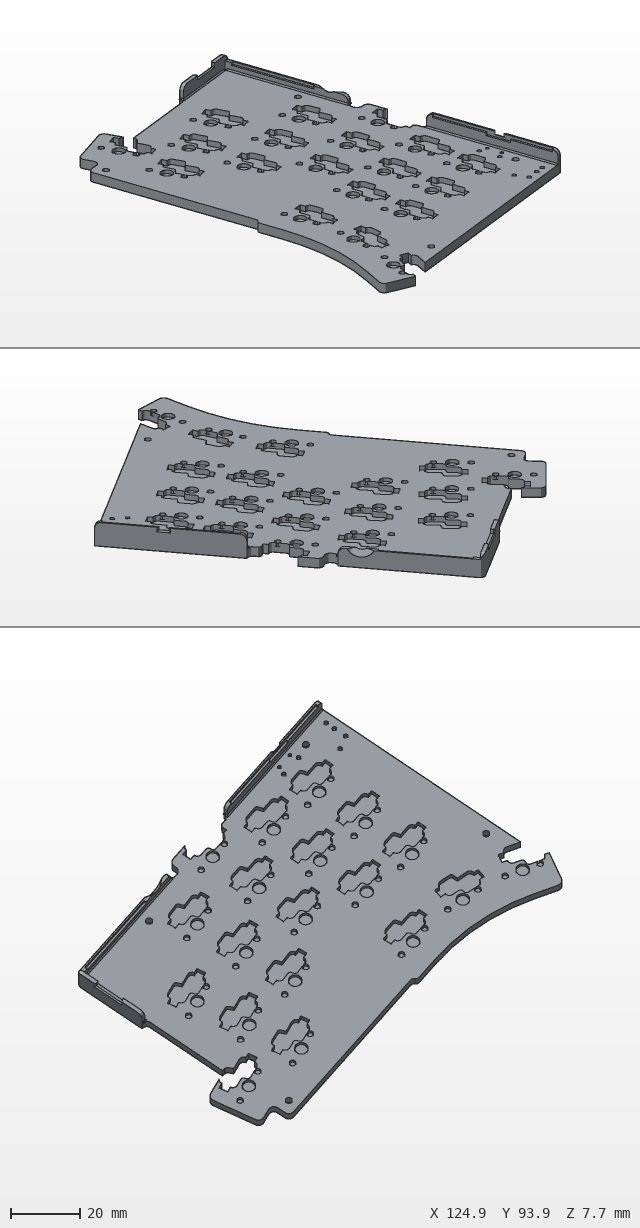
import cadquery as cq
import math


PLATE_THICKNESS = 3.1
BODY_WIDTH = 113.2
BODY_DEPTH = 75.1
CORNER_RADIUS = 1.75
NOTCH_EDGE_Y = 24.63
NOTCH_EDGE_LENGTH = 1.0
TAB_CORNER = 0.7
STEP_START_X = 58.0
STEP_END_X = 58.7
STEP_RADIUS = 1.3
THUMB_ARC_RADIUS = 69.0

ROW_PITCH = 17.0
KEY_SIDE = 9.3
KEY_FRONT = 8.7
KEY_BACK = 8.65
PINKY_SIDE = 9.08

INDEX_X = 72.83
INDEX_REAR_Y = 62.06
MIDDLE_X = 54.81
MIDDLE_SECOND_Y = 53.5

FINGER_COLUMNS = [
    (90.83, 59.34, 0, 3),
    (INDEX_X, INDEX_REAR_Y, 0, 3),
    (MIDDLE_X, MIDDLE_SECOND_Y, 0, 2),
    (34.30, 60.26, 4, 3),
    (13.97, 44.60, 10, 3),
]
INNER_THUMB_KEY = (67.88, 7.29, 0)
MIDDLE_THUMB_KEY = (87.79, 4.45, -15)
MIDDLE_FINGER_KEY = (MIDDLE_X, MIDDLE_SECOND_Y + ROW_PITCH, 0)
PINKY_KEY = (0.69, 15.51, 10)
OUTER_THUMB_KEY = (106.2, -3.2, -30)

WIDE_SOCKET_SHIFT = 0.6
WIDE_SOCKET_KEY = (INDEX_X + WIDE_SOCKET_SHIFT, INDEX_REAR_Y, 0)

STEM_DIAMETER = 3.9
SIDE_PIN_DIAMETER = 1.9
SIDE_PIN_OFFSET = 5.5
PIN_DEPTH = 1.2
SOCKET_DEPTH = 1.8

SOCKET_LEFT = -4.6
SOCKET_RIGHT = 9.5
SOCKET_BACK = 8.78
SOCKET_TAB_FRONT = 2.33
SOCKET_OUTLINE = [
    (SOCKET_LEFT, 4.55, 0),
    (SOCKET_LEFT, 7.35, 0),
    (-2.85, 7.35, 0),
    (-2.85, SOCKET_BACK, 1.42),
    (2.45, SOCKET_BACK, 0.9),
    (3.05, 6.6, 0),
    (7.95, 6.6, 1.4),
    (7.95, 5.15, 0),
    (SOCKET_RIGHT, 5.15, 0),
    (SOCKET_RIGHT, SOCKET_TAB_FRONT, 0),
    (7.85, SOCKET_TAB_FRONT, 0),
    (7.85, 0.92, 1.35),
    (1.9, 0.92, 1.1),
    (1.6, 3.1, 0.9),
    (-2.85, 3.1, 1.4),
    (-2.85, 4.55, 0),
]

MOUNT_HOLE_DIAMETER = 2.0
MOUNT_HOLES = [(26.6, 72.0), (100.9, 72.0), (3.9, 3.4), (109.3, 12.5)]
SMALL_PIN_DIAMETER = 1.0
SMALL_PINS = [(90.3, 73.5), (95.3, 73.5)]
LARGE_PIN_DIAMETER = 1.3
LARGE_PINS = [(89.2, 71.0), (96.2, 71.0), (110.2, 71.76), (110.2, 68.7), (110.2, 64.6), (105.9, 63.3)]

TALL_WALL_TOP = 7.7
LOW_WALL_TOP = 5.9
WALL_THICKNESS = 1.3
FOOT_SIZE = 0.43
WALL_OUTSET = WALL_THICKNESS + FOOT_SIZE
WALL_BACK_Y = BODY_DEPTH + WALL_OUTSET
WALL_LEFT_X = -WALL_OUTSET
WALL_CORNER_RADIUS = 2.0
OUTLINE_BLEND = 1.7
LOW_WALL_END_X = 41.5
RIGHT_WALL_START_X = 68.3
LEFT_WALL_END_Y = 52.73

LIP_THICKNESS = 0.55
LEDGE_DROP = 0.9
LOW_LEDGE_X = (1.73, 29.8)
RIGHT_LEDGE_X = (RIGHT_WALL_START_X + WALL_CORNER_RADIUS, BODY_WIDTH - WALL_CORNER_RADIUS)

FUNNEL_X = 34.8
FUNNEL_Z = 8.0
FUNNEL_OUTER_RADIUS = 4.5
FUNNEL_INNER_RADIUS = 2.6

SWITCH_X = 92.75
SWITCH_RECESS_WIDTH = 8.4
SWITCH_RECESS_FLOOR = 5.9
SWITCH_SLOT_WIDTH = 3.0
SWITCH_SLOT_FLOOR = 6.7
MOUTH_BEVEL = 0.45

USB_NOTCH_Y = (60.5, 69.8)
USB_NOTCH_FLOOR = 6.3


def key_point(key, x, y):
    """Convert a point relative to a key centre to part coordinates."""
    key_x, key_y, rotation = key
    angle = math.radians(rotation)
    return (
        key_x + x * math.cos(angle) - y * math.sin(angle),
        key_y + x * math.sin(angle) + y * math.cos(angle),
    )


def rounded_outline(vertices):
    """Closed wire through (x, y, radius) vertices, each corner blended by its radius."""
    spans = []
    for i, (x, y, radius) in enumerate(vertices):
        corner = cq.Vector(x, y)
        before = (cq.Vector(*vertices[i - 1][:2]) - corner).normalized()
        after = (cq.Vector(*vertices[(i + 1) % len(vertices)][:2]) - corner).normalized()
        if radius == 0:
            spans.append((corner, None, corner))
            continue
        half_angle = before.getAngle(after) / 2
        tangent_length = radius / math.tan(half_angle)
        bisector = (before + after).normalized()
        middle = corner + bisector * (radius / math.sin(half_angle) - radius)
        spans.append((corner + before * tangent_length, middle, corner + after * tangent_length))

    edges = []
    for i, (start, middle, end) in enumerate(spans):
        if middle is not None:
            edges.append(cq.Edge.makeThreePointArc(start, middle, end))
        edges.append(cq.Edge.makeLine(end, spans[(i + 1) % len(spans)][0]))
    return cq.Wire.assembleEdges(edges)


def extruded_outline(vertices, bottom, height):
    solid = cq.Solid.extrudeLinear(rounded_outline(vertices), [], cq.Vector(0, 0, height))
    return cq.Workplane(solid.translate(cq.Vector(0, 0, bottom)))


def block(x_range, y_range, z_range):
    sizes = [high - low for low, high in (x_range, y_range, z_range)]
    corner = (x_range[0], y_range[0], z_range[0])
    return cq.Workplane().box(*sizes, centered=False).translate(corner)


def plate():
    """Plate outline; where a socket breaks the edge it runs through the socket's interior."""
    thumb_front_y = key_point(INNER_THUMB_KEY, 0, -KEY_FRONT)[1]
    outer_front_x, outer_front_y = key_point(OUTER_THUMB_KEY, 0, -KEY_FRONT)
    outer_slope = math.tan(math.radians(OUTER_THUMB_KEY[2]))
    thumb_vertex_x = outer_front_x + (thumb_front_y - outer_front_y) / outer_slope

    pinky_slope = math.tan(math.radians(PINKY_KEY[2]))
    pinky_front_x, pinky_front_y = key_point(PINKY_KEY, 0, -KEY_FRONT)
    pinky_notch_y = pinky_front_y - pinky_front_x * pinky_slope

    thumb_back_x, thumb_back_y = key_point(OUTER_THUMB_KEY, 0, SOCKET_BACK)
    right_edge_y = thumb_back_y + (BODY_WIDTH - thumb_back_x) * outer_slope

    socket_middle = (2.0, 5.0)
    socket_rear = (0.0, KEY_BACK)
    finger_left_x, finger_back_y = key_point(MIDDLE_FINGER_KEY, -KEY_SIDE, KEY_BACK)
    finger_tab_x = key_point(MIDDLE_FINGER_KEY, SOCKET_RIGHT, 0)[0]

    vertices = [
        (0, 0, CORNER_RADIUS),
        (STEP_START_X, 0, STEP_RADIUS),
        (STEP_END_X, thumb_front_y, STEP_RADIUS),
        (thumb_vertex_x, thumb_front_y, THUMB_ARC_RADIUS),
        (*key_point(OUTER_THUMB_KEY, KEY_SIDE, -KEY_FRONT), CORNER_RADIUS),
        (*key_point(OUTER_THUMB_KEY, KEY_SIDE, SOCKET_TAB_FRONT), 0),
        (*key_point(OUTER_THUMB_KEY, *socket_middle), 0),
        (*key_point(OUTER_THUMB_KEY, *socket_rear), 0),
        (*key_point(OUTER_THUMB_KEY, 0, SOCKET_BACK), 0),
        (BODY_WIDTH, right_edge_y, 0),
        (BODY_WIDTH, WALL_BACK_Y, 0),
        (RIGHT_WALL_START_X, WALL_BACK_Y, 0),
        (RIGHT_WALL_START_X, BODY_DEPTH, OUTLINE_BLEND),
        (finger_tab_x + TAB_CORNER, BODY_DEPTH, 0),
        (finger_tab_x, BODY_DEPTH - TAB_CORNER, 0),
        (*key_point(MIDDLE_FINGER_KEY, *socket_middle), 0),
        (*key_point(MIDDLE_FINGER_KEY, *socket_rear), 0),
        (finger_left_x, finger_back_y, CORNER_RADIUS),
        (finger_left_x, BODY_DEPTH, CORNER_RADIUS),
        (LOW_WALL_END_X, BODY_DEPTH, OUTLINE_BLEND),
        (LOW_WALL_END_X, WALL_BACK_Y, 0),
        (WALL_LEFT_X, WALL_BACK_Y, CORNER_RADIUS),
        (WALL_LEFT_X, LEFT_WALL_END_Y, 0),
        (0, LEFT_WALL_END_Y, OUTLINE_BLEND),
        (0, NOTCH_EDGE_Y, 0),
        (NOTCH_EDGE_LENGTH, NOTCH_EDGE_Y, 0),
        (*key_point(PINKY_KEY, *socket_middle), 0),
        (*key_point(PINKY_KEY, *socket_rear), 0),
        (*key_point(PINKY_KEY, -PINKY_SIDE, KEY_BACK), CORNER_RADIUS),
        (*key_point(PINKY_KEY, -PINKY_SIDE, -KEY_FRONT), CORNER_RADIUS),
        (0, pinky_notch_y, CORNER_RADIUS),
    ]
    return extruded_outline(vertices, 0, PLATE_THICKNESS)


def finger_keys():
    keys = []
    for x, y, rotation, count in FINGER_COLUMNS:
        for row in range(count):
            keys.append((*key_point((x, y, rotation), 0, -row * ROW_PITCH), rotation))
    return keys


def socket_cut(key, depth):
    vertices = [(*key_point(key, x, y), radius) for x, y, radius in SOCKET_OUTLINE]
    return extruded_outline(vertices, PLATE_THICKNESS - depth, depth)


def round_pockets(points, diameter, depth):
    bottom = cq.Workplane(origin=(0, 0, PLATE_THICKNESS - depth))
    return bottom.pushPoints(points).circle(diameter / 2).extrude(depth)


def wall_foot(x_range, y_range):
    """45 degree foot that tapers inward from the given rectangle."""
    width = x_range[1] - x_range[0]
    depth = y_range[1] - y_range[0]
    centre = (x_range[0] + width / 2, y_range[0] + depth / 2, PLATE_THICKNESS)
    return cq.Workplane(origin=centre).rect(width, depth).extrude(FOOT_SIZE, taper=45)


def beveled_mouth(outer_face, width, depth):
    """Bevel cutter for an open-topped notch, drawn on the wall's outer face at its top edge."""
    rim_width = width + 2 * MOUTH_BEVEL
    rim_height = 2 * (depth + MOUTH_BEVEL)
    return outer_face.rect(rim_width, rim_height).extrude(MOUTH_BEVEL, taper=45)


def back_wall(x_range, top, rounded_ends, ledge_x):
    """Back wall with rounded upper ends and a ledge behind its outer lip."""
    inner_y = WALL_BACK_Y - WALL_THICKNESS
    wall = block(x_range, (inner_y, WALL_BACK_Y), (0, top))
    wall = wall.edges(rounded_ends).fillet(WALL_CORNER_RADIUS)
    return wall.cut(block(ledge_x, (inner_y, WALL_BACK_Y - LIP_THICKNESS), (top - LEDGE_DROP, top)))


def low_back_wall():
    wall = back_wall((WALL_LEFT_X, LOW_WALL_END_X), LOW_WALL_TOP, "|Y and >Z and >X", LOW_LEDGE_X)
    funnel = cq.Solid.makeCone(
        FUNNEL_OUTER_RADIUS,
        FUNNEL_INNER_RADIUS,
        WALL_THICKNESS,
        cq.Vector(FUNNEL_X, WALL_BACK_Y, FUNNEL_Z),
        cq.Vector(0, -1, 0),
    )
    foot = wall_foot((WALL_LEFT_X + CORNER_RADIUS, LOW_WALL_END_X + FOOT_SIZE), (BODY_DEPTH, WALL_BACK_Y))
    return wall.cut(funnel).union(foot)


def right_back_wall():
    wall = back_wall((RIGHT_WALL_START_X, BODY_WIDTH), TALL_WALL_TOP, "|Y and >Z", RIGHT_LEDGE_X)
    recess_x = (SWITCH_X - SWITCH_RECESS_WIDTH / 2, SWITCH_X + SWITCH_RECESS_WIDTH / 2)
    slot_x = (SWITCH_X - SWITCH_SLOT_WIDTH / 2, SWITCH_X + SWITCH_SLOT_WIDTH / 2)
    lip_y = WALL_BACK_Y - LIP_THICKNESS
    recess = block(recess_x, (BODY_DEPTH, lip_y), (SWITCH_RECESS_FLOOR, TALL_WALL_TOP))
    slot = block(slot_x, (BODY_DEPTH, WALL_BACK_Y), (SWITCH_SLOT_FLOOR, TALL_WALL_TOP))
    foot = wall_foot((RIGHT_WALL_START_X - FOOT_SIZE, BODY_WIDTH), (BODY_DEPTH, WALL_BACK_Y))
    outer_face = cq.Workplane("XZ", origin=(SWITCH_X, WALL_BACK_Y, TALL_WALL_TOP))
    mouth = beveled_mouth(outer_face, SWITCH_SLOT_WIDTH, TALL_WALL_TOP - SWITCH_SLOT_FLOOR)
    return wall.cut(recess).cut(slot).cut(mouth).union(foot)


def left_wall():
    inner_x = WALL_LEFT_X + WALL_THICKNESS
    wall = block((WALL_LEFT_X, inner_x), (LEFT_WALL_END_Y, WALL_BACK_Y), (0, TALL_WALL_TOP))
    wall = wall.edges("|X and >Z").fillet(WALL_CORNER_RADIUS)
    near_y, far_y = USB_NOTCH_Y
    notch = block((WALL_LEFT_X, inner_x), USB_NOTCH_Y, (USB_NOTCH_FLOOR, TALL_WALL_TOP))
    outer_face = cq.Workplane("YZ", origin=(WALL_LEFT_X, (near_y + far_y) / 2, TALL_WALL_TOP))
    mouth = beveled_mouth(outer_face, far_y - near_y, TALL_WALL_TOP - USB_NOTCH_FLOOR)
    wall = wall.cut(notch).cut(mouth)
    foot = wall_foot((WALL_LEFT_X, 0), (LEFT_WALL_END_Y - FOOT_SIZE, WALL_BACK_Y - CORNER_RADIUS))
    return wall.union(foot)


def rear_corner_trim():
    """Material outside the rounded vertical corner between the left and back walls."""
    centre_x = WALL_LEFT_X + CORNER_RADIUS
    centre_y = WALL_BACK_Y - CORNER_RADIUS
    corner = block((WALL_LEFT_X, centre_x), (centre_y, WALL_BACK_Y), (0, TALL_WALL_TOP))
    return corner.cut(cq.Workplane().center(centre_x, centre_y).circle(CORNER_RADIUS).extrude(TALL_WALL_TOP))


pocket_keys = finger_keys() + [INNER_THUMB_KEY, MIDDLE_THUMB_KEY]
edge_keys = [MIDDLE_FINGER_KEY, PINKY_KEY, OUTER_THUMB_KEY]
all_keys = pocket_keys + edge_keys

stems = [key_point(key, 0, 0) for key in all_keys]
side_pins = [key_point(key, side * SIDE_PIN_OFFSET, 0) for key in all_keys for side in (-1, 1)]

result = plate().union(low_back_wall()).union(right_back_wall()).union(left_wall())
result = result.cut(rear_corner_trim())
for key in pocket_keys + [WIDE_SOCKET_KEY]:
    result = result.cut(socket_cut(key, SOCKET_DEPTH))
for key in edge_keys:
    result = result.cut(socket_cut(key, PLATE_THICKNESS))
result = result.cut(round_pockets(stems, STEM_DIAMETER, PIN_DEPTH))
result = result.cut(round_pockets(side_pins, SIDE_PIN_DIAMETER, PIN_DEPTH))
result = result.cut(round_pockets(SMALL_PINS, SMALL_PIN_DIAMETER, PIN_DEPTH))
result = result.cut(round_pockets(LARGE_PINS, LARGE_PIN_DIAMETER, PIN_DEPTH))
result = result.cut(round_pockets(MOUNT_HOLES, MOUNT_HOLE_DIAMETER, PLATE_THICKNESS))